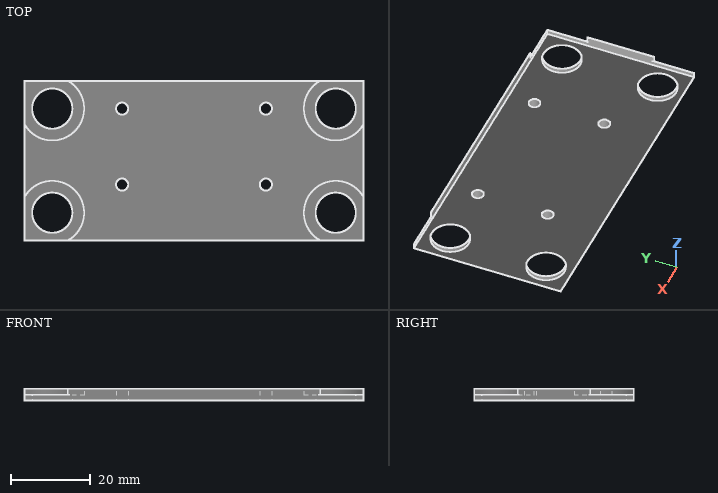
import cadquery as cq

length = 85.0
width = 40.0
thickness = 3.0

corner_inset = 7.0
corner_hole_diameter = 10.0
recess_diameter = 16.0
recess_depth = 1.5

small_hole_diameter = 3.0
small_hole_spacing_x = 36.0
small_hole_spacing_y = 19.0

recess_floor = thickness - recess_depth
corner_x = length / 2 - corner_inset
corner_y = width / 2 - corner_inset
corner_points = [(x, y) for x in (-corner_x, corner_x) for y in (-corner_y, corner_y)]

small_x = small_hole_spacing_x / 2
back_row_y = corner_y
front_row_y = back_row_y - small_hole_spacing_y
small_points = [(x, y) for x in (-small_x, small_x) for y in (front_row_y, back_row_y)]


def corner_recess(x, y):
    """Round recess about a corner hole, joined to a square that clears the plate corner."""
    floor = cq.Workplane("XY").workplane(offset=recess_floor).center(x, y)
    disc = floor.circle(recess_diameter / 2).extrude(recess_depth)
    side = recess_diameter / 2
    shift_x = side / 2 if x > 0 else -side / 2
    shift_y = side / 2 if y > 0 else -side / 2
    square = floor.center(shift_x, shift_y).rect(side, side).extrude(recess_depth)
    return disc.union(square)


def through_holes(points, diameter):
    return cq.Workplane("XY").pushPoints(points).circle(diameter / 2).extrude(thickness)


result = cq.Workplane("XY").box(length, width, thickness, centered=(True, True, False))
for x, y in corner_points:
    result = result.cut(corner_recess(x, y))
result = result.cut(through_holes(corner_points, corner_hole_diameter))
result = result.cut(through_holes(small_points, small_hole_diameter))